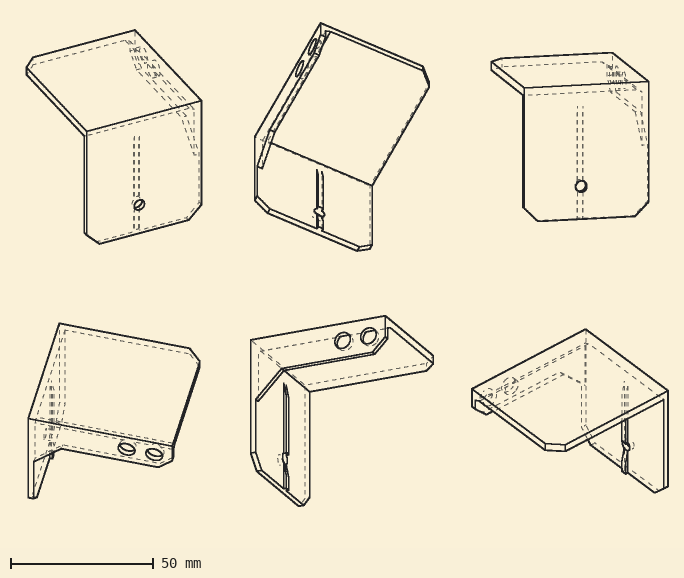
import cadquery as cq

LENGTH = 52.0
WIDTH = 45.0
HEIGHT = 48.0

TOP_PLATE = 3.0
END_WALL = 2.0
SIDE_FLANGE = 2.0

CORNER_CUT = 5.0

FLANGE_DEPTH = 13.0
GUSSET_LEG = 10.0
BEVEL_WIDTH = 2.0
BEVEL_DROP = 1.0
SIDE_HOLE_DIAMETER = 6.0
SIDE_HOLE_COUNT = 2
SIDE_HOLE_PITCH = 10.0
SIDE_HOLE_INSET = 6.5
SIDE_HOLE_DEPTH = 6.5

RIB_WIDTH = 2.0
RIB_HEIGHT = 1.0
RIB_START_DEPTH = 8.0
RAMP_LENGTH = 5.0
WALL_HOLE_DIAMETER = 4.0
WALL_HOLE_DEPTH = 36.3
RIB_Y = 20.65

wall_face = LENGTH - END_WALL
plate_underside = HEIGHT - TOP_PLATE
flange_face = WIDTH - SIDE_FLANGE
flange_bottom = HEIGHT - FLANGE_DEPTH
wall_hole_z = HEIGHT - WALL_HOLE_DEPTH
wall_hole_radius = WALL_HOLE_DIAMETER / 2


def top_plate():
    """Horizontal plate with one corner cut off at the free end."""
    plate = cq.Workplane("XY").box(LENGTH, WIDTH, TOP_PLATE, centered=False)
    plate = plate.edges("|Z and <X and <Y").chamfer(CORNER_CUT)
    return plate.translate((0, 0, plate_underside))


def end_wall():
    """Vertical plate with both lower corners cut off."""
    wall = cq.Workplane("XY").box(END_WALL, WIDTH, HEIGHT, centered=False)
    wall = wall.edges("|X and <Z").chamfer(CORNER_CUT)
    return wall.translate((wall_face, 0, 0))


def side_flange():
    """Flange along the +Y side, braced against the end wall."""
    outline = [
        (0, HEIGHT),
        (0, flange_bottom + CORNER_CUT),
        (CORNER_CUT, flange_bottom),
        (wall_face - GUSSET_LEG, flange_bottom),
        (wall_face, flange_bottom - GUSSET_LEG),
        (wall_face, HEIGHT),
    ]
    return cq.Workplane("XZ", origin=(0, WIDTH, 0)).polyline(outline).close().extrude(SIDE_FLANGE)


def side_holes():
    """Two holes through the flange that also clip the bevel beside it."""
    hole_z = HEIGHT - SIDE_HOLE_DEPTH
    centers = [(SIDE_HOLE_INSET + i * SIDE_HOLE_PITCH, hole_z) for i in range(SIDE_HOLE_COUNT)]
    drills = cq.Workplane("XZ", origin=(0, WIDTH, 0)).pushPoints(centers)
    return drills.circle(SIDE_HOLE_DIAMETER / 2).extrude(SIDE_FLANGE + BEVEL_WIDTH)


def corner_bevel():
    """Sloped filler in the inner corner between top plate and flange."""
    outline = [
        (flange_face, plate_underside),
        (flange_face - BEVEL_WIDTH, plate_underside),
        (flange_face, plate_underside - BEVEL_DROP),
    ]
    return cq.Workplane("YZ").polyline(outline).close().extrude(wall_face)


def rib():
    """Raised strip running down the end wall, ramped up at its top end."""
    rib_top = HEIGHT - RIB_START_DEPTH
    outline = [
        (wall_face, rib_top),
        (wall_face - RIB_HEIGHT, rib_top - RAMP_LENGTH),
        (wall_face - RIB_HEIGHT, 0),
        (wall_face, 0),
    ]
    strip = cq.Workplane("XZ", origin=(0, RIB_Y + RIB_WIDTH / 2, 0))
    return strip.polyline(outline).close().extrude(RIB_WIDTH)


def wall_hole():
    """Hole through the end wall and rib."""
    drill = cq.Workplane("YZ", origin=(wall_face - RIB_HEIGHT, RIB_Y, wall_hole_z))
    return drill.circle(wall_hole_radius).extrude(RIB_HEIGHT + END_WALL)


def rib_relief():
    """Lower half of a cone around the wall hole, sloping the rib up below the hole."""
    profile = [
        (wall_face, 0),
        (wall_face - RIB_HEIGHT, 0),
        (wall_face - RIB_HEIGHT, -wall_hole_radius - RAMP_LENGTH),
        (wall_face, -wall_hole_radius),
    ]
    section = cq.Workplane("XY").polyline(profile).close()
    cone = section.revolve(180, (0, 0, 0), (1, 0, 0))
    return cone.translate((0, RIB_Y, wall_hole_z))


result = (
    top_plate()
    .union(end_wall())
    .union(side_flange())
    .union(corner_bevel())
    .union(rib())
    .cut(side_holes())
    .cut(wall_hole())
    .cut(rib_relief())
)